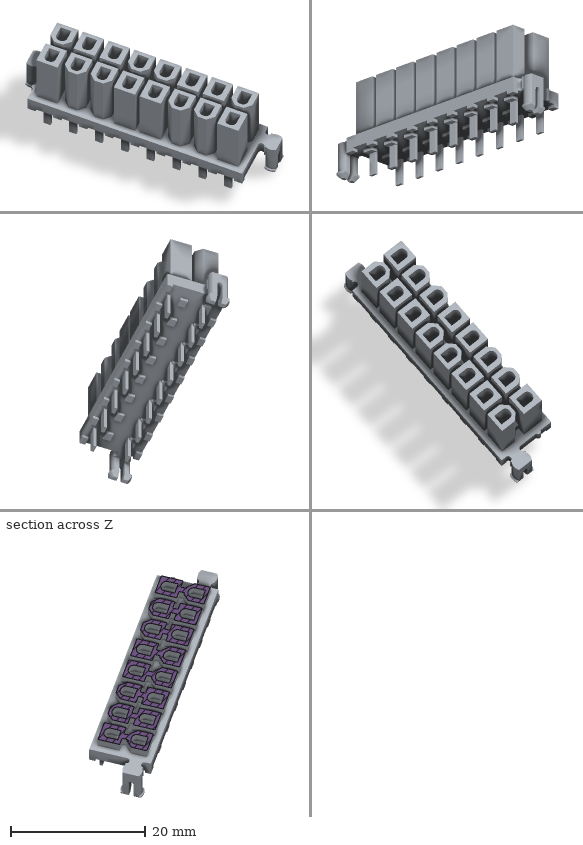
import cadquery as cq

overall_length = 40.6
base_length = 34.9
base_width = 9.6
base_thick = 1.95

columns = 8
column_span = 29.4
column_pitch = column_span / (columns - 1)
row_offset = 2.1

socket_size = 3.45
socket_height = 8.9
socket_bevel = 1.0
cavity_width = 1.75
cavity_length = 2.3
cavity_round = 0.77
cavity_back_wall = 0.6
bridge_width = 0.97
bridge_height = 1.6

foot_height = 0.5
foot_depth = 0.95
foot_gap = 2.9
block_depth = 1.15
front_block_width = 1.35
front_block_y = -1.2
back_block_width = 1.7
back_block_y = 2.5
pin_width = 1.18
pin_thick = 0.5
pin_bottom = -5.93
front_pin_y = -3.6
pin_row_spacing = 5.52

peg_y = 2.5
peg_radius = 1.5
peg_thick = 1.75
peg_bottom = -5.65
peg_center_x = (overall_length - peg_thick) / 2
hook_radius = 1.8
hook_top = -4.65
hook_rim = 0.32
hook_tip_radius = 1.25
tip_bevel_start = -4.9
tip_thick = 0.7
slot_width = 0.85
slot_top = -1.83
neck_width = 1.83
notch_radius = 0.5
notch_x = base_length / 2 + notch_radius

key_radius = 0.4
key_inset = 0.05
key_x = -base_length / 2 + key_inset
key_y = -2.3


def box(width, depth, bottom, top, x, y):
    """Upright block centred on (x, y) between two heights."""
    return (
        cq.Workplane("XY", origin=(x, y, bottom))
        .rect(width, depth)
        .extrude(top - bottom)
    )


def socket(x, y, beveled):
    """Socket tower; the beveled kind has its two -Y corners cut off."""
    tower = box(socket_size, socket_size, 0, socket_height, x, y)
    if beveled:
        tower = tower.edges("|Z and <Y").chamfer(socket_bevel)
    return tower


def cavity(x, y):
    """Blind D-shaped well with its two -Y corners rounded."""
    center_y = y + (socket_size - cavity_length) / 2 - cavity_back_wall
    well = box(cavity_width, cavity_length, 0, socket_height, x, center_y)
    return well.edges("|Z and <Y").fillet(cavity_round)


def peg():
    """Flat-sided split peg with hooked tip, on the +X end."""
    shank = (
        cq.Workplane("XY", origin=(0, 0, hook_top))
        .circle(peg_radius)
        .extrude(-hook_top)
    )
    hook = (
        cq.Workplane("XZ")
        .moveTo(0, hook_top)
        .lineTo(hook_radius, hook_top)
        .lineTo(hook_radius, hook_top - hook_rim)
        .lineTo(hook_tip_radius, peg_bottom)
        .lineTo(0, peg_bottom)
        .close()
        .revolve(360, (0, 0), (0, 1))
    )
    flats = (
        cq.Workplane("XZ")
        .moveTo(-peg_thick / 2, 0)
        .lineTo(peg_thick / 2, 0)
        .lineTo(peg_thick / 2, tip_bevel_start)
        .lineTo(tip_thick / 2, peg_bottom)
        .lineTo(-tip_thick / 2, peg_bottom)
        .lineTo(-peg_thick / 2, tip_bevel_start)
        .close()
        .extrude(hook_radius, both=True)
    )
    slot_arch_z = slot_top - slot_width / 2
    slot = box(peg_thick, slot_width, peg_bottom, slot_arch_z, 0, 0).union(
        cq.Workplane("YZ", origin=(0, 0, slot_arch_z))
        .circle(slot_width / 2)
        .extrude(peg_thick / 2, both=True)
    )
    return shank.union(hook).intersect(flats).cut(slot).translate((peg_center_x, peg_y, 0))


def neck():
    """Web joining the +X peg to the base, overlapping the base end."""
    start = base_length / 2 - notch_radius
    end = peg_center_x - peg_thick / 2
    full_width = neck_width + 2 * notch_radius
    return box(end - start, full_width, -base_thick, 0, (start + end) / 2, peg_y)


result = box(base_length, base_width, -base_thick, 0, 0, 0)

peg_end = neck().union(peg())
result = result.union(peg_end).union(peg_end.mirror("YZ"))
notch_offset = neck_width / 2 + notch_radius
notch_points = [
    (side * notch_x, peg_y + edge * notch_offset) for side in (-1, 1) for edge in (-1, 1)
]
notches = (
    cq.Workplane("XY", origin=(0, 0, -base_thick))
    .pushPoints(notch_points)
    .circle(notch_radius)
    .extrude(base_thick)
)
result = result.cut(notches)

key = (
    cq.Workplane("XY", origin=(key_x, key_y, -base_thick))
    .circle(key_radius)
    .extrude(base_thick)
)
result = result.union(key)

column_x = [(i - (columns - 1) / 2) * column_pitch for i in range(columns)]
foot_bottom = -base_thick - foot_height
for side in (-1, 1):
    strip_y = side * (base_width - foot_depth) / 2
    strip = box(base_length, foot_depth, foot_bottom, -base_thick, 0, strip_y)
    for x in column_x:
        strip = strip.cut(box(foot_gap, foot_depth, foot_bottom, -base_thick, x, strip_y))
    result = result.union(strip)

bridge_length = 2 * row_offset - socket_size
for i, x in enumerate(column_x):
    back_beveled = i % 4 in (0, 3)
    contact = socket(x, row_offset, back_beveled)
    contact = contact.union(socket(x, -row_offset, not back_beveled))
    contact = contact.union(box(bridge_width, bridge_length, 0, bridge_height, x, 0))
    for y in (row_offset, -row_offset):
        contact = contact.cut(cavity(x, y))
    for width, y in ((front_block_width, front_block_y), (back_block_width, back_block_y)):
        contact = contact.union(box(width, block_depth, foot_bottom, -base_thick, x, y))
    for y in (front_pin_y, front_pin_y + pin_row_spacing):
        contact = contact.union(box(pin_width, pin_thick, pin_bottom, -base_thick, x, y))
    result = result.union(contact)